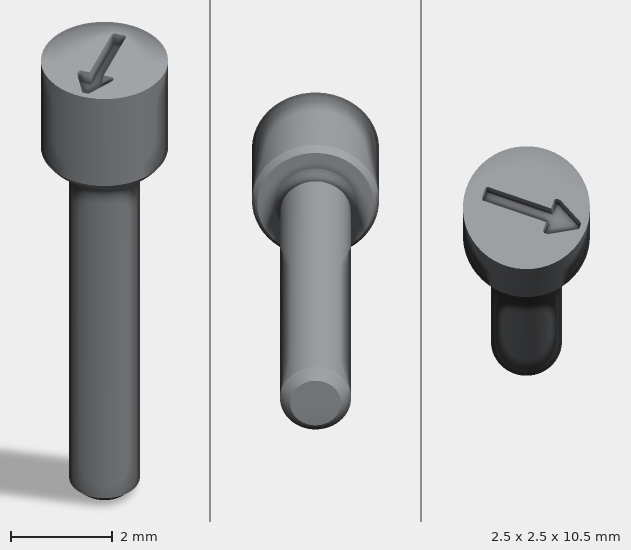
import cadquery as cq

total_length = 10.5
head_diameter = 2.5
head_height = 2.3
head_chamfer_width = 0.1
head_chamfer_height = 0.15
shank_diameter = 1.4
tip_chamfer = 0.2

neck_radius = 0.65
neck_height = 0.35
neck_waist_drop = 0.18
neck_flare_radius = 0.8

arrow_tail_y = 0.89
arrow_shoulder_y = -0.46
arrow_corner_y = -0.58
arrow_tip_y = -1.12
arrow_shaft_half_width = 0.15
arrow_shaft_overlap = 0.21
arrow_head_half_width = 0.37
arrow_tip_half_width = 0.06
arrow_depth = 0.25
arrow_draft_angle = 10.0
arrow_corner_radius = 0.05


def turned_body():
    """Headed pin standing on its tip at Z = 0, revolved about the Z axis."""
    shank_radius = shank_diameter / 2
    head_radius = head_diameter / 2
    head_bottom = total_length - head_height
    shank_top = head_bottom - neck_height
    profile = (
        cq.Workplane("XZ")
        .lineTo(shank_radius - tip_chamfer, 0)
        .lineTo(shank_radius, tip_chamfer)
        .lineTo(shank_radius, shank_top)
        .threePointArc(
            (neck_radius, head_bottom - neck_waist_drop),
            (neck_flare_radius, head_bottom),
        )
        .lineTo(head_radius - head_chamfer_width, head_bottom)
        .lineTo(head_radius, head_bottom + head_chamfer_height)
        .lineTo(head_radius, total_length)
        .lineTo(0, total_length)
        .close()
    )
    return profile.revolve(360, (0, 0), (0, 1))


def tapered_cutter(right_side):
    """Symmetric rounded outline cut down from the head face, narrowing with depth."""
    left_side = [(-x, y) for x, y in reversed(right_side)]
    outline = cq.Sketch().polygon(right_side + left_side + right_side[:1])
    outline = outline.vertices().fillet(arrow_corner_radius)
    return (
        cq.Workplane("XY", origin=(0, 0, total_length))
        .placeSketch(outline)
        .extrude(-arrow_depth, taper=arrow_draft_angle)
    )


def arrow_recess():
    """Arrow cutter: a straight shaft running into a pointed head."""
    shaft = tapered_cutter([
        (arrow_shaft_half_width, arrow_tail_y),
        (arrow_shaft_half_width, arrow_shoulder_y - arrow_shaft_overlap),
    ])
    point = tapered_cutter([
        (arrow_head_half_width, arrow_shoulder_y),
        (arrow_head_half_width, arrow_corner_y),
        (arrow_tip_half_width, arrow_tip_y),
    ])
    return shaft.union(point)


result = turned_body().cut(arrow_recess())